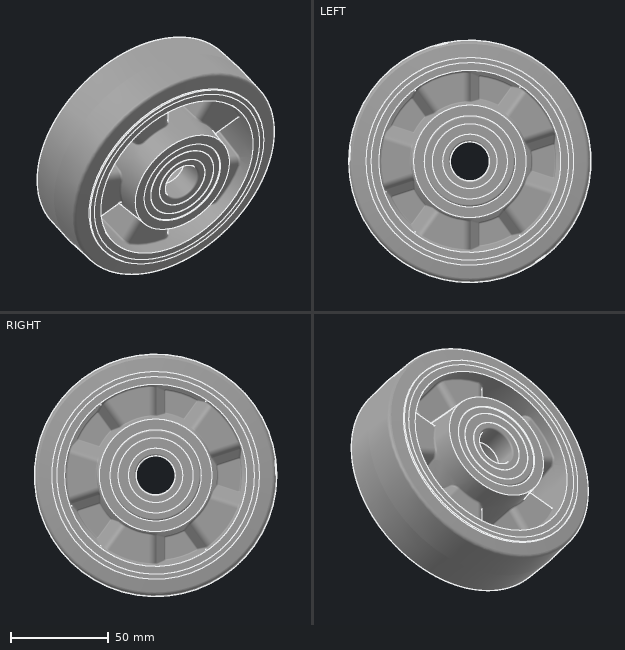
import cadquery as cq
import math


tyre_radius = 62.5
tread_angle = 2.0
tyre_half_width = 19.0
sidewall_angle = 6.0
shoulder_fillet = 1.7

liner_outer_radius = 53.5
liner_inner_radius = 50.9
rim_half_width = 20.0

hub_half_width = 25.0
hub_face_radius = 29.0
rim_mouth_radius = 46.9
draft_angle = 5.0

fold_count = 5
web_half_depth = 13.0
web_thickness = 6.0
fold_wall_angle = 13.0
ridge_fillet = 4.2
pocket_fillet = 1.0

bearing_outer_radius = 23.5
bearing_bore_radius = 10.0
bearing_width = 14.0
bearing_fillet = 1.0
inner_ring_radius = 14.0
outer_ring_radius = 19.35
shield_recess = 0.2
bearing_starts = [-hub_half_width, hub_half_width - bearing_width]


def revolve_about_x(points):
    """Solid of revolution about X from a closed outline of (x, radius) points."""
    return cq.Workplane("XY").polyline(points).close().revolve(360, (0, 0, 0), (1, 0, 0))


def ring(inner_radius, outer_radius, x_start, x_end):
    """Plain ring around the X axis."""
    return (
        cq.Workplane("YZ", origin=(x_start, 0, 0))
        .circle(outer_radius)
        .circle(inner_radius)
        .extrude(x_end - x_start)
    )


def make_tyre():
    """Tyre with a crest on the middle plane, leaning side walls and round shoulders."""
    tread_slope = math.tan(math.radians(tread_angle))
    wall_slope = math.tan(math.radians(sidewall_angle))
    wall_height = (tyre_radius - liner_outer_radius - tyre_half_width * tread_slope) / (
        1 - tread_slope * wall_slope
    )
    shoulder_radius = liner_outer_radius + wall_height
    shoulder_x = tyre_half_width - wall_height * wall_slope
    body = revolve_about_x([
        (-tyre_half_width, liner_outer_radius),
        (-shoulder_x, shoulder_radius),
        (0, tyre_radius),
        (shoulder_x, shoulder_radius),
        (tyre_half_width, liner_outer_radius),
    ])
    near_shoulder = cq.selectors.RadiusNthSelector(-2)
    shoulders = body.edges("%CIRCLE").edges(near_shoulder)
    return shoulders.fillet(shoulder_fillet)


def make_liner():
    """Ring between the hub rim and the tyre."""
    return ring(liner_inner_radius, liner_outer_radius, -rim_half_width, rim_half_width)


def make_web_block():
    """Slab with wedge-shaped hollows on its -X face, one for each deep pocket."""
    hollow_depth = 2 * web_half_depth - web_thickness
    reach = 2 * liner_outer_radius
    half_span = reach * math.tan(math.radians(180 / (2 * fold_count)))
    block = ring(bearing_outer_radius, liner_outer_radius, -web_half_depth, web_half_depth)
    hollow = (
        cq.Workplane("YZ", origin=(-web_half_depth, 0, 0))
        .polyline([(0, 0), (-reach, half_span), (-reach, -half_span)])
        .close()
        .extrude(hollow_depth, taper=fold_wall_angle)
    )
    for fold in range(fold_count):
        block = block.cut(hollow.rotate((0, 0, 0), (1, 0, 0), fold * 360 / fold_count))
    return block.faces("<X").edges("%LINE").fillet(ridge_fillet)


def make_pocket():
    """Everything removed from the -X side between boss and rim, down to the web."""
    floor_x = web_half_depth - web_thickness
    draft = math.tan(math.radians(draft_angle))
    rim_draft = draft * (floor_x + rim_half_width)
    boss_draft = draft * (floor_x + hub_half_width)
    space = revolve_about_x([
        (-hub_half_width, hub_face_radius),
        (-hub_half_width, rim_mouth_radius),
        (-rim_half_width, rim_mouth_radius),
        (floor_x, rim_mouth_radius - rim_draft),
        (floor_x, hub_face_radius + boss_draft),
    ])
    pocket = space.cut(make_web_block())
    beyond_mouth = cq.selectors.BoxSelector(
        (-web_half_depth - pocket_fillet, -tyre_radius, -tyre_radius),
        (web_half_depth, tyre_radius, tyre_radius),
    )
    feet = pocket.faces("%CONE").edges("not %LINE").edges(beyond_mouth)
    valleys = pocket.faces(">X").edges("%LINE")
    return pocket.newObject(feet.vals() + valleys.vals()).fillet(pocket_fillet)


def make_hub():
    """Boss, web and rim in one piece, with a bearing seat at each end of the bore."""
    rim = ring(outer_ring_radius, liner_inner_radius, -rim_half_width, rim_half_width)
    boss = ring(outer_ring_radius, rim_mouth_radius, -hub_half_width, hub_half_width)
    pocket = make_pocket()
    far_pocket = pocket.rotate((0, 0, 0), (0, 0, 1), 180)
    body = rim.union(boss).cut(pocket).cut(far_pocket)
    for start in bearing_starts:
        seat = cq.Workplane("YZ", origin=(start, 0, 0)).circle(bearing_outer_radius).extrude(bearing_width)
        body = body.cut(seat)
    return body


def make_inner_ring(start):
    """Bearing inner ring with rounded bore mouths; its -X face is at start."""
    body = ring(bearing_bore_radius, inner_ring_radius, start, start + bearing_width)
    mouths = body.edges(cq.selectors.RadiusNthSelector(0))
    return mouths.fillet(bearing_fillet)


def make_outer_ring(start):
    """Bearing outer ring with rounded outside edges; its -X face is at start."""
    body = ring(outer_ring_radius, bearing_outer_radius, start, start + bearing_width)
    rims = body.edges(cq.selectors.RadiusNthSelector(-1))
    return rims.fillet(bearing_fillet)


def make_shield(start):
    """Closed ring that fills the gap between the bearing rings, set in at both faces."""
    return ring(
        inner_ring_radius,
        outer_ring_radius,
        start + shield_recess,
        start + bearing_width - shield_recess,
    )


tyre = make_tyre()
liner = make_liner()
hub = make_hub()
bodies = [tyre.solids().val(), liner.solids().val(), hub.solids().val()]
for bearing_start in bearing_starts:
    bodies.append(make_inner_ring(bearing_start).solids().val())
    bodies.append(make_outer_ring(bearing_start).solids().val())
    bodies.append(make_shield(bearing_start).solids().val())

result = cq.Compound.makeCompound(bodies)